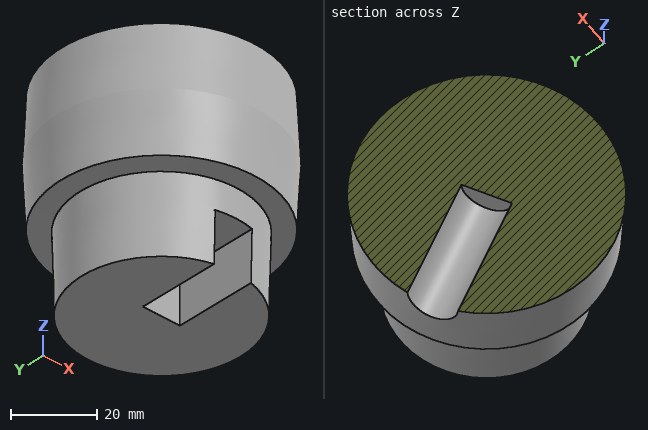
import cadquery as cq
import math

WIDEST_RADIUS = 32.5
HEAD_RIM_RADIUS = 31.5
HEIGHT = 61.9
TOP_CONE_RISE = 1.0
WIDEST_Z = 42.0
LOWER_RIM_Z = 23.9

NECK_TOP_RADIUS = 25.55
NECK_BOTTOM_RADIUS = 25.0
NECK_LENGTH = 23.4

SLOT_WIDTH = 11.7
SLOT_HEIGHT = 14.95

HOLE_DIAMETER = 12.7
HOLE_Z = 41.4
HOLE_ANGLE = 120.0


def body():
    profile = [
        (0, 0),
        (NECK_BOTTOM_RADIUS, 0),
        (NECK_TOP_RADIUS, NECK_LENGTH),
        (HEAD_RIM_RADIUS, LOWER_RIM_Z),
        (WIDEST_RADIUS, WIDEST_Z),
        (HEAD_RIM_RADIUS, HEIGHT - TOP_CONE_RISE),
        (0, HEIGHT),
    ]
    half_section = cq.Workplane("XZ").polyline(profile).close()
    return half_section.revolve(360, (0, 0), (0, 1))


def slot():
    return cq.Workplane("XY").box(
        SLOT_WIDTH, WIDEST_RADIUS, SLOT_HEIGHT, centered=(True, False, False)
    ).translate((0, -WIDEST_RADIUS, 0))


def radial_hole():
    angle = math.radians(HOLE_ANGLE)
    outward = cq.Vector(math.cos(angle), math.sin(angle), 0)
    axis_point = cq.Vector(0, 0, HOLE_Z)
    return cq.Solid.makeCylinder(HOLE_DIAMETER / 2, WIDEST_RADIUS, axis_point, outward)


result = body().cut(slot()).cut(radial_hole())